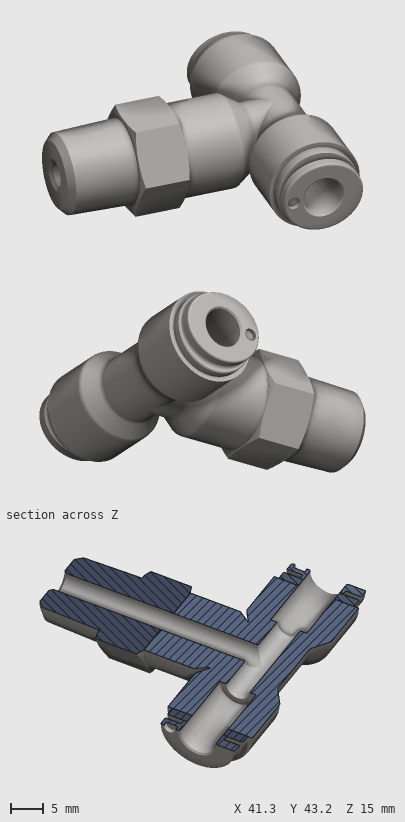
import cadquery as cq
import math


bore_d = 4.0
tube_d = 6.2
tube_seat = 8.0

barrel_d = 14.7
waist_d = 10.6
arm_length = 16.75
shoulder_outer = 8.03
shoulder_inner = 5.05
shoulder_blend = 1.0

collar_d = 13.15
collar_length = 1.55
collar_chamfer = 0.17

run_length = 41.3
flange_width = 12.95
flange_height = 11.48
flange_thickness = 1.6
flange_rounding = 0.3
neck_d = 7.5
mouth_chamfer = 0.25
release_hole_d = 2.0
release_hole_depth = 0.75
release_hole_offset = 4.85

overall_length = 43.15
hex_flats = 15.0
hex_length = 8.0
hex_chamfer_d = 14.95
hex_chamfer_drop = 0.45
thread_root_d = 13.45
thread_tip_d = 12.85
tip_chamfer = 1.05
stud_mouth_chamfer = 0.5

button_reach = run_length / 2
collar_face = arm_length + collar_length
stud_end = overall_length - barrel_d / 2
hex_end = arm_length + hex_length
hex_corners = hex_flats / math.cos(math.radians(30))

LEFT, RIGHT, BRANCH = 180, 0, -90


def turn(shape, angle):
    """Swing a shape built along +X to the direction of an arm."""
    return shape.rotate((0, 0, 0), (0, 0, 1), angle)


def rod(diameter, start, end):
    """Round bar along +X between two distances from the origin."""
    return cq.Workplane("YZ", origin=(start, 0, 0)).circle(diameter / 2).extrude(end - start)


def revolved(profile):
    """Solid of revolution about X from (distance, radius) points."""
    return cq.Workplane("XY").polyline(profile).close().revolve(360, (0, 0, 0), (1, 0, 0))


def make_arm():
    """Narrow waist that widens through a blended cone into a barrel."""
    arm = revolved([
        (0, 0),
        (0, waist_d / 2),
        (shoulder_inner, waist_d / 2),
        (shoulder_outer, barrel_d / 2),
        (arm_length, barrel_d / 2),
        (arm_length, 0),
    ])
    return arm.faces("%CONE").edges().fillet(shoulder_blend)


def make_body():
    arm = make_arm()
    body = turn(arm, LEFT).union(turn(arm, RIGHT)).union(turn(arm, BRANCH))
    body = body.cut(rod(bore_d, -arm_length, arm_length))
    body = body.cut(turn(rod(bore_d, 0, arm_length), BRANCH))
    for side in (LEFT, RIGHT):
        body = body.cut(turn(rod(tube_d, tube_seat, arm_length), side))
    return body


def make_collar(side):
    collar = rod(collar_d, arm_length, collar_face).faces(">X").chamfer(collar_chamfer)
    collar = collar.cut(rod(tube_d, arm_length, collar_face))
    return turn(collar, side)


def make_button(side):
    """Oval flange on a round neck; the blind release hole is on the -Y side."""
    flange_start = button_reach - flange_thickness
    flange = (
        cq.Workplane("YZ", origin=(flange_start, 0, 0))
        .ellipse(flange_width / 2, flange_height / 2)
        .extrude(flange_thickness)
        .faces(">X").edges().fillet(flange_rounding)
    )
    button = flange.union(rod(neck_d, collar_face, flange_start))
    button = button.cut(rod(tube_d, collar_face, button_reach))
    button = button.faces(">X").edges("%CIRCLE").chamfer(mouth_chamfer)
    hole_y = release_hole_offset if side == LEFT else -release_hole_offset
    release_hole = rod(release_hole_d, button_reach - release_hole_depth, button_reach)
    release_hole = release_hole.translate((0, hole_y, 0))
    return turn(button.cut(release_hole), side)


def make_hexagon():
    """Hexagon with two flats facing +Z and -Z and its corners chamfered."""
    hexagon = (
        cq.Workplane("YZ", origin=(arm_length, 0, 0))
        .polygon(6, hex_corners)
        .extrude(hex_length)
    )
    chamfer_envelope = revolved([
        (arm_length, 0),
        (arm_length, hex_chamfer_d / 2),
        (arm_length + hex_chamfer_drop, hex_corners / 2),
        (hex_end - hex_chamfer_drop, hex_corners / 2),
        (hex_end, hex_chamfer_d / 2),
        (hex_end, 0),
    ])
    return hexagon.intersect(chamfer_envelope)


def make_stud():
    thread = revolved([
        (hex_end, 0),
        (hex_end, thread_root_d / 2),
        (stud_end - tip_chamfer, thread_tip_d / 2),
        (stud_end, thread_tip_d / 2 - tip_chamfer),
        (stud_end, 0),
    ])
    stud = make_hexagon().union(thread)
    stud = stud.cut(rod(bore_d, arm_length, stud_end))
    mouth_edge = stud.faces(">X").edges(cq.selectors.RadiusNthSelector(0))
    return turn(mouth_edge.chamfer(stud_mouth_chamfer), BRANCH)


body = make_body()
collars = [make_collar(side) for side in (LEFT, RIGHT)]
buttons = [make_button(side) for side in (LEFT, RIGHT)]
stud = make_stud()

result = cq.Compound.makeCompound([
    body.val(),
    *[collar.val() for collar in collars],
    *[button.val() for button in buttons],
    stud.val(),
])